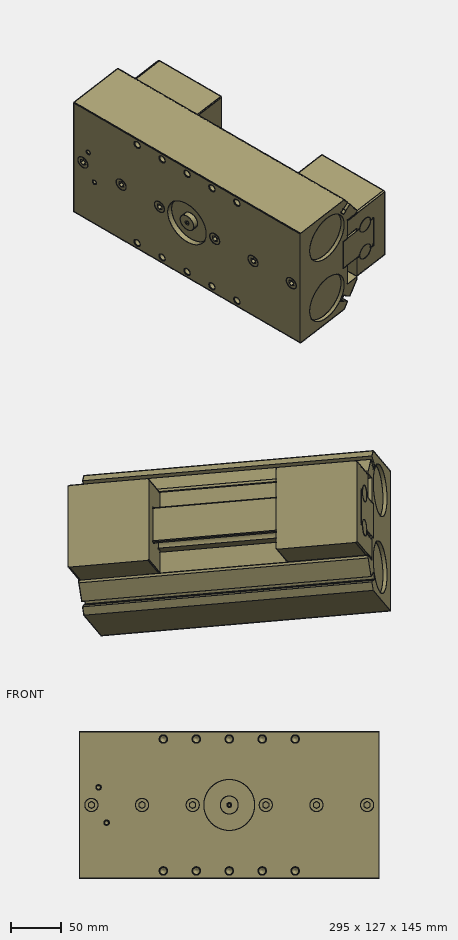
import cadquery as cq
import math

LENGTH = 295.0
HEIGHT = 145.0
DEPTH = 127.0
HALF_LENGTH = LENGTH / 2
HALF_HEIGHT = HEIGHT / 2

SHOULDER_Y = 66.5
GUIDE_FACE_Y = 85.5
FLANK_ANGLE = 55.0
FRONT_CHAMFER = 0.5

SLOT_FROM_SHOULDER = 11.5
SLOT_NECK_WIDTH = 5.5
SLOT_NECK_DEPTH = 7.5
SLOT_FOOT_WIDTH = 6.8
SLOT_DEPTH = 11.8

CHANNEL_FLOOR_Y = 71.5
CHANNEL_HALF_HEIGHT = 42.5
RAIL_TIP_Y = 110.5
RAIL_HALF_HEIGHT = 17.7
RAIL_CHAMFER = 1.0
RAIL_SEAT_DEPTH = 6.5
GUIDE_ROD_Y = 98.0
GUIDE_ROD_RADIUS = 8.3
END_SETBACK = 0.3

BORE_Y = 40.0
BORE_Z = 39.8
BORE_RADIUS = 26.0
BORE_DEPTH = 4.0

TAPPED_PITCH = 32.5
TAPPED_Z = 65.0
TAPPED_RADIUS = 3.5
TAPPED_RIM_RADIUS = 4.0
TAPPED_DEPTH = 14.8
PORT_CENTRES = [(-128.5, 17.5), (-120.7, -17.5)]
PORT_RADIUS = 2.0
PORT_RIM_RADIUS = 2.7
PORT_DEPTH = 8.8
DRILL_TIP_ANGLE = 118.0
SCREW_FIRST_X = 36.0
SCREW_PITCH = 50.0
SCREW_HEAD_RADIUS = 6.5
SCREW_HEAD_DEPTH = 0.3
SCREW_SOCKET_FLATS = 6.0
SCREW_SOCKET_DEPTH = 4.5
RING_OUTER_RADIUS = 25.0
RING_INNER_RADIUS = 8.8
RING_DEPTH = 6.0
CENTRE_RADIUS = 1.5
CENTRE_RIM_RADIUS = 2.5
CENTRE_DEPTH = 6.0

JAW_LENGTH = 82.5
JAW_HALF_HEIGHT = CHANNEL_HALF_HEIGHT
JAW_RAIL_GAP = 0.5
OUTER_CHAMFER_X = 1.8
OUTER_CHAMFER_Z = 1.0
INNER_CHAMFER = 1.0
RACK_LOW_Z = -42.0
RACK_HIGH_Z = -20.5
RACK_GAP = 1.0
RACK_END_X = 82.5


def box(x_range, y_range, z_range):
    """Box spanning the given (low, high) ranges."""
    lows, highs = zip(x_range, y_range, z_range)
    sizes = [high - low for low, high in zip(lows, highs)]
    return cq.Workplane("XY").box(*sizes, centered=False).translate(lows)


def along_x(x_start, x_end, y, z, radius):
    """Cylinder running along X."""
    return cq.Workplane("YZ", origin=(x_start, y, z)).circle(radius).extrude(x_end - x_start)


def front_cylinder(x, z, radius, depth):
    """Cylinder going from the mounting face (Y = 0) into the housing."""
    return cq.Workplane("XZ", origin=(x, 0, z)).circle(radius).extrude(-depth)


def hexagon_socket(x):
    """Hexagonal socket of a screw on the X axis, corners pointing up and down."""
    half_corner_angle = 30
    corner_diameter = SCREW_SOCKET_FLATS / math.cos(math.radians(half_corner_angle))
    face = cq.Workplane("XZ", origin=(x, 0, 0)).transformed(rotate=(0, 0, half_corner_angle))
    return face.polygon(6, corner_diameter).extrude(-SCREW_SOCKET_DEPTH)


def drilled_hole(x, z, radius, rim_radius, depth):
    """Blind hole in the mounting face with a chamfered rim and a conical bottom."""
    rim_depth = rim_radius - radius
    tip_y = depth + radius / math.tan(math.radians(DRILL_TIP_ANGLE / 2))
    half_section = [(0, 0), (rim_radius, 0), (radius, rim_depth), (radius, depth), (0, tip_y)]
    return (
        cq.Workplane("XY")
        .polyline(half_section)
        .close()
        .revolve(360, (0, 0, 0), (0, 1, 0))
        .translate((x, 0, z))
    )



def housing_body():
    """Prism with sloping flanks and lightly chamfered mounting-face edges."""
    flank_run = GUIDE_FACE_Y - SHOULDER_Y
    guide_face_z = HALF_HEIGHT - flank_run * math.tan(math.radians(FLANK_ANGLE))
    upper_half = [
        (0, HALF_HEIGHT - FRONT_CHAMFER),
        (FRONT_CHAMFER, HALF_HEIGHT),
        (SHOULDER_Y, HALF_HEIGHT),
        (GUIDE_FACE_Y, guide_face_z),
    ]
    lower_half = [(y, -z) for y, z in reversed(upper_half)]
    section = cq.Workplane("YZ", origin=(-HALF_LENGTH, 0, 0)).polyline(upper_half + lower_half)
    return section.close().extrude(LENGTH)


def flank_slot():
    """T-slot cutter for the upper flank, in local axes along the flank and into it."""
    angle = math.radians(FLANK_ANGLE)
    centre_y = SHOULDER_Y + SLOT_FROM_SHOULDER * math.cos(angle)
    centre_z = HALF_HEIGHT - SLOT_FROM_SHOULDER * math.sin(angle)
    mouth = cq.Plane(
        origin=(-HALF_LENGTH, centre_y, centre_z),
        xDir=(0, math.cos(angle), -math.sin(angle)),
        normal=(1, 0, 0),
    )
    neck = cq.Workplane(mouth).rect(SLOT_NECK_WIDTH, 2 * SLOT_DEPTH).extrude(LENGTH)
    foot_height = SLOT_DEPTH - SLOT_NECK_DEPTH
    foot_centre = -(SLOT_DEPTH + SLOT_NECK_DEPTH) / 2
    foot = cq.Workplane(mouth).center(0, foot_centre)
    return neck.union(foot.rect(SLOT_FOOT_WIDTH, foot_height).extrude(LENGTH))


def rail():
    """Central rail with a round guide groove along each side."""
    seat_y = CHANNEL_FLOOR_Y - RAIL_SEAT_DEPTH
    bar = box(
        (-HALF_LENGTH, HALF_LENGTH),
        (seat_y, RAIL_TIP_Y),
        (-RAIL_HALF_HEIGHT, RAIL_HALF_HEIGHT),
    )
    bar = bar.faces(">Y").edges("|X").chamfer(RAIL_CHAMFER)
    for side in (-1, 1):
        groove_z = side * RAIL_HALF_HEIGHT
        bar = bar.cut(along_x(-HALF_LENGTH, HALF_LENGTH, GUIDE_ROD_Y, groove_z, GUIDE_ROD_RADIUS))
    return bar


def rail_end_setback(end):
    """Thin cut that sets one end of the rail back from the housing end face."""
    x_range = sorted((end * HALF_LENGTH, end * (HALF_LENGTH - END_SETBACK)))
    y_range = (CHANNEL_FLOOR_Y - RAIL_SEAT_DEPTH, RAIL_TIP_Y)
    return box(x_range, y_range, (-RAIL_HALF_HEIGHT, RAIL_HALF_HEIGHT))


def cut_mounting_face(body):
    """Tapped holes, ports, screws and the central ring recess."""
    for side in (-1, 1):
        for column in range(-2, 3):
            body = body.cut(drilled_hole(
                column * TAPPED_PITCH, side * TAPPED_Z, TAPPED_RADIUS, TAPPED_RIM_RADIUS, TAPPED_DEPTH
            ))
        for index in range(3):
            screw_x = side * (SCREW_FIRST_X + index * SCREW_PITCH)
            body = body.cut(front_cylinder(screw_x, 0, SCREW_HEAD_RADIUS, SCREW_HEAD_DEPTH))
            body = body.cut(hexagon_socket(screw_x))
    for x, z in PORT_CENTRES:
        body = body.cut(drilled_hole(x, z, PORT_RADIUS, PORT_RIM_RADIUS, PORT_DEPTH))
    ring = front_cylinder(0, 0, RING_OUTER_RADIUS, RING_DEPTH)
    body = body.cut(ring.cut(front_cylinder(0, 0, RING_INNER_RADIUS, RING_DEPTH)))
    return body.cut(drilled_hole(0, 0, CENTRE_RADIUS, CENTRE_RIM_RADIUS, CENTRE_DEPTH))


def make_housing():
    body = housing_body()
    slot = flank_slot()
    body = body.cut(slot).cut(slot.mirror("XY"))
    body = body.cut(box(
        (-HALF_LENGTH, HALF_LENGTH),
        (CHANNEL_FLOOR_Y, GUIDE_FACE_Y),
        (-CHANNEL_HALF_HEIGHT, CHANNEL_HALF_HEIGHT),
    ))
    body = body.union(rail())
    for end in (-1, 1):
        body = body.cut(rail_end_setback(end))
        bore_x = sorted((end * HALF_LENGTH, end * (HALF_LENGTH - BORE_DEPTH)))
        for side in (-1, 1):
            body = body.cut(along_x(*bore_x, BORE_Y, side * BORE_Z, BORE_RADIUS))
    return cut_mounting_face(body)



def chamfered_block(x_end, y_range, z_range):
    """Block from the outer end at -X to x_end, its four edges along Y chamfered."""
    y_low, y_high = y_range
    z_low, z_high = z_range
    x_start = -HALF_LENGTH
    outline = [
        (x_start, z_low + OUTER_CHAMFER_Z),
        (x_start + OUTER_CHAMFER_X, z_low),
        (x_end - INNER_CHAMFER, z_low),
        (x_end, z_low + INNER_CHAMFER),
        (x_end, z_high - INNER_CHAMFER),
        (x_end - INNER_CHAMFER, z_high),
        (x_start + OUTER_CHAMFER_X, z_high),
        (x_start, z_high - OUTER_CHAMFER_Z),
    ]
    return cq.Workplane("XZ", origin=(0, y_low, 0)).polyline(outline).close().extrude(y_low - y_high)


def make_jaw():
    """Jaw at the -X end, with its rack in the lower half of the channel."""
    inner_x = -HALF_LENGTH + JAW_LENGTH
    rack_z = (RACK_LOW_Z, RACK_HIGH_Z)
    jaw = chamfered_block(inner_x, (GUIDE_FACE_Y, DEPTH), (-JAW_HALF_HEIGHT, JAW_HALF_HEIGHT))

    opening_half = RAIL_HALF_HEIGHT + JAW_RAIL_GAP
    jaw = jaw.cut(box(
        (-HALF_LENGTH, inner_x),
        (GUIDE_FACE_Y, RAIL_TIP_Y),
        (-opening_half, opening_half),
    ))
    for side in (-1, 1):
        rod_z = side * RAIL_HALF_HEIGHT
        jaw = jaw.cut(along_x(-HALF_LENGTH, inner_x, GUIDE_ROD_Y, rod_z, GUIDE_ROD_RADIUS))
        rod_start = -HALF_LENGTH + END_SETBACK
        jaw = jaw.union(along_x(rod_start, inner_x, GUIDE_ROD_Y, rod_z, GUIDE_ROD_RADIUS))

    foot = chamfered_block(inner_x, (CHANNEL_FLOOR_Y, GUIDE_FACE_Y), rack_z)
    rack = chamfered_block(RACK_END_X, (CHANNEL_FLOOR_Y, GUIDE_FACE_Y - RACK_GAP), rack_z)
    return jaw.union(foot).union(rack)


housing = make_housing()

jaws = []
for turn in (0, 180):
    jaws.append(make_jaw().rotate((0, 0, 0), (0, 1, 0), turn))

result = cq.Compound.makeCompound([housing.solids().val(), *[jaw.solids().val() for jaw in jaws]])